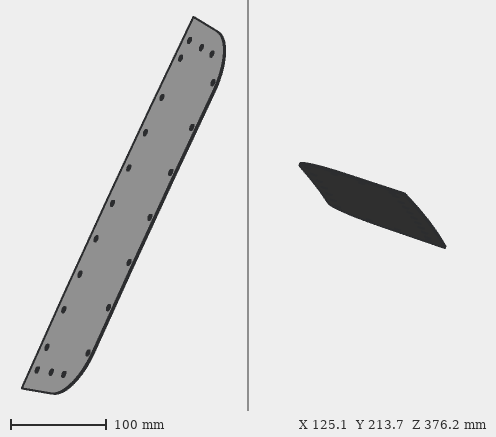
import cadquery as cq
import math

lean = 28.95
twist = 8.66
origin = (-58.5, 2.1, -0.4)

thickness = 2.0
top_corner_y = 212.7
bottom_corner_y = -213.4
bulged_edge_bow = 4.1
hollow_edge_x = 123.6
hollow_edge_bow = 3.3
top_slope = -0.043
bottom_slope = 0.118
corner_radius = 57.0

hole_diameter = 6.2
bulged_edge_inset = 15.6
hollow_edge_inset = 9.7
bulged_row_pitch = 40.6
bulged_row_count = 7
bulged_row_center_y = 1.1
bulged_row_extra_y = (168.3, -163.6)
hollow_row_pitch = 51.7
hollow_row_count = 7
hollow_row_center_y = 4.7
end_hole_x = (15.6, 49.8, 80.3)
top_row_y = 189.6
bottom_row_y = -191.0

bulged_half_length = (top_corner_y - bottom_corner_y) / 2
bulged_mid_y = (top_corner_y + bottom_corner_y) / 2
hollow_top_y = top_corner_y + top_slope * hollow_edge_x
hollow_bottom_y = bottom_corner_y + bottom_slope * hollow_edge_x
hollow_half_length = (hollow_top_y - hollow_bottom_y) / 2
hollow_mid_y = (hollow_top_y + hollow_bottom_y) / 2


def arc_offset(distance, half_chord, bow):
    """Height of a circular arc above its chord, at a distance from the chord middle."""
    radius = (half_chord**2 + bow**2) / (2 * bow)
    return math.sqrt(radius**2 - distance**2) - (radius - bow)


def plate_plane():
    """Plane of the outer face, with local y along the plate and the normal pointing out."""
    lean_angle = math.radians(lean)
    sin_twist = math.sin(math.radians(twist))
    cos_twist = math.cos(math.radians(twist))
    rise = math.sin(lean_angle)
    reach = math.cos(lean_angle)
    across = (cos_twist, -sin_twist * reach, sin_twist * rise)
    normal = (-sin_twist, -cos_twist * reach, cos_twist * rise)
    return cq.Plane(origin=origin, xDir=across, normal=normal)


def plate_blank():
    """Four-sided plate with two bowed long edges, before rounding, in local axes."""
    return (
        cq.Workplane("XY")
        .moveTo(0, bottom_corner_y)
        .lineTo(hollow_edge_x, hollow_bottom_y)
        .threePointArc((hollow_edge_x - hollow_edge_bow, hollow_mid_y), (hollow_edge_x, hollow_top_y))
        .lineTo(0, top_corner_y)
        .threePointArc((-bulged_edge_bow, bulged_mid_y), (0, bottom_corner_y))
        .close()
        .extrude(-thickness)
    )


def bulged_row():
    """Holes that follow the bulged edge."""
    first_y = bulged_row_center_y - bulged_row_pitch * (bulged_row_count - 1) / 2
    heights = [first_y + i * bulged_row_pitch for i in range(bulged_row_count)]
    heights.extend(bulged_row_extra_y)
    return [
        (bulged_edge_inset - arc_offset(y - bulged_mid_y, bulged_half_length, bulged_edge_bow), y)
        for y in heights
    ]


def hollow_row():
    """Holes that follow the hollow edge."""
    first_y = hollow_row_center_y - hollow_row_pitch * (hollow_row_count - 1) / 2
    heights = [first_y + i * hollow_row_pitch for i in range(hollow_row_count)]
    line_x = hollow_edge_x - hollow_edge_inset
    return [
        (line_x - arc_offset(y - hollow_mid_y, hollow_half_length, hollow_edge_bow), y)
        for y in heights
    ]


def end_row(start_y, slope):
    """Holes parallel to an end edge."""
    return [(x, start_y + slope * x) for x in end_hole_x]


def round_corners(blank):
    """Round the two corners at the ends of the hollow edge."""
    corner_edges = blank.edges("|Z").filter(lambda edge: edge.Center().x > hollow_edge_x / 2)
    return corner_edges.fillet(corner_radius)


def drills():
    """Cylinders that cut every hole through the plate."""
    centers = bulged_row() + hollow_row()
    centers += end_row(top_row_y, top_slope)
    centers += end_row(bottom_row_y, bottom_slope)
    return cq.Workplane("XY").pushPoints(centers).circle(hole_diameter / 2).extrude(-thickness)


flat_part = round_corners(plate_blank()).cut(drills()).solids()

result = cq.Workplane(flat_part.val().moved(cq.Location(plate_plane())))